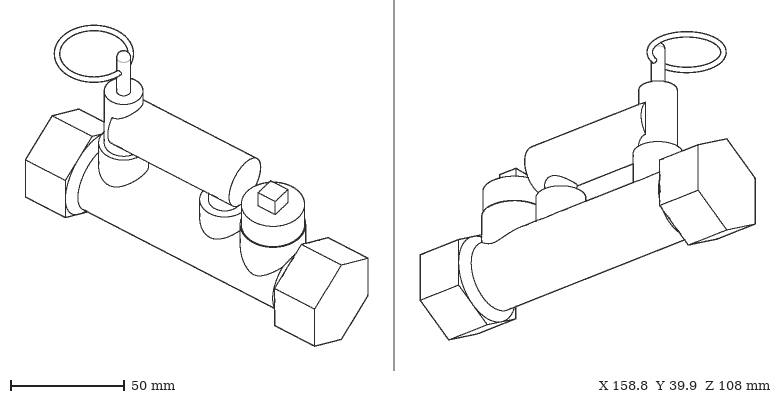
import cadquery as cq
import math

overall_length = 158.75
hex_across_flats = 39.88
hex_length = 22.0
pipe_radius = 16.0

left_branch_x = 39.25
small_socket_diameter = 22.1
left_socket_top = 29.2
stem_diameter = 17.2
stem_top = 61.2
pin_diameter = 6.2
pin_top = 84.97
ring_wire_diameter = 2.5
ring_center_diameter = 32.6
ring_z = 74.7

barrel_diameter = 23.6
barrel_end_x = 105.8
barrel_z = 43.45

middle_branch_x = 94.7
right_socket_top = 26.3
neck_diameter = 14.4

right_branch_x = 121.2
large_socket_diameter = 29.0
plug_diameter = 28.0
plug_top = 38.8
key_width = 9.4
key_top = 46.9


def upright_cylinder(x, diameter, bottom, top):
    """Vertical cylinder centred on the pipe's mid-plane."""
    return cq.Workplane("XY", origin=(x, 0, bottom)).circle(diameter / 2).extrude(top - bottom)


def make_hex_end(start_x):
    """Hexagonal pipe end with corners pointing up and down."""
    across_corners = hex_across_flats / math.cos(math.radians(30))
    blank = cq.Workplane("YZ", origin=(start_x, 0, 0)).polygon(6, across_corners).extrude(hex_length)
    return blank.rotate((0, 0, 0), (1, 0, 0), 90)


def make_pipe():
    """Solid pipe body with a 45 degree cone running up to each hexagonal end."""
    cone_radius = hex_across_flats / 2
    cone_length = cone_radius - pipe_radius
    left_face = hex_length
    right_face = overall_length - hex_length
    profile = [
        (left_face, 0),
        (left_face, cone_radius),
        (left_face + cone_length, pipe_radius),
        (right_face - cone_length, pipe_radius),
        (right_face, cone_radius),
        (right_face, 0),
    ]
    body = cq.Workplane("XY").polyline(profile).close().revolve(360, (0, 0, 0), (1, 0, 0))
    for start_x in (0, right_face):
        body = body.union(make_hex_end(start_x))
    return body


def make_pin():
    """Pull pin with a hemispherical tip."""
    pin_radius = pin_diameter / 2
    tip_base = pin_top - pin_radius
    shank = upright_cylinder(left_branch_x, pin_diameter, stem_top, tip_base)
    tip = cq.Workplane("XY", origin=(left_branch_x, 0, tip_base)).sphere(pin_radius)
    return shank.union(tip)


def make_ring():
    """Horizontal wire ring whose centreline passes through the pin axis."""
    ring_radius = ring_center_diameter / 2
    ring = cq.Solid.makeTorus(ring_radius, ring_wire_diameter / 2)
    return cq.Workplane(ring).translate((left_branch_x - ring_radius, 0, ring_z))


def make_left_branch():
    socket = upright_cylinder(left_branch_x, small_socket_diameter, 0, left_socket_top)
    stem = upright_cylinder(left_branch_x, stem_diameter, left_socket_top, stem_top)
    return socket.union(stem).union(make_pin()).union(make_ring())


def make_barrel():
    """Horizontal barrel starting at the stem axis."""
    start = cq.Workplane("YZ", origin=(left_branch_x, 0, barrel_z))
    return start.circle(barrel_diameter / 2).extrude(barrel_end_x - left_branch_x)


def make_middle_branch():
    socket = upright_cylinder(middle_branch_x, small_socket_diameter, 0, right_socket_top)
    neck = upright_cylinder(middle_branch_x, neck_diameter, right_socket_top, barrel_z)
    return socket.union(neck)


def make_right_branch():
    socket = upright_cylinder(right_branch_x, large_socket_diameter, 0, right_socket_top)
    plug = upright_cylinder(right_branch_x, plug_diameter, right_socket_top, plug_top)
    key_base = cq.Workplane("XY", origin=(right_branch_x, 0, plug_top))
    key = key_base.rect(key_width, key_width).extrude(key_top - plug_top)
    return socket.union(plug).union(key)


result = (
    make_pipe()
    .union(make_left_branch())
    .union(make_middle_branch())
    .union(make_barrel())
    .union(make_right_branch())
)